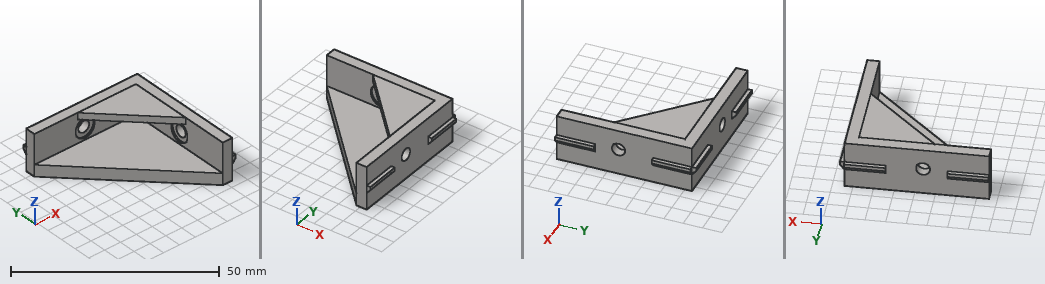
import cadquery as cq
import math

overall = 36.1
height = 12.5
tab_reach = 1.1
wall = 3.05
floor_thickness = 3.5
brace_leg = 18.35
brace_edge = 2.0
brace_drop = 3.97
hole_diameter = 3.4
counterbore_diameter = 6.0
counterbore_depth = 0.5
hole_position = 16.0
hole_height = 7.08
tab_length = 10.0
tab_top = 7.08
tab_tip = 0.9
tab_root = 2.2

outer = overall - tab_reach
inner = outer - wall


def mirrored(body):
    """Swap X and Y: mirror a body in the upright plane through the bracket's corner."""
    return body.mirror("YZ").rotate((0, 0, 0), (0, 0, 1), -90)


def wall_hole_cutter():
    """Screw hole through the Y wall, counterbored from its inner face."""
    inner_face = cq.Workplane("XZ", origin=(hole_position, inner, hole_height))
    through_hole = inner_face.circle(hole_diameter / 2).extrude(-wall)
    counterbore = inner_face.circle(counterbore_diameter / 2).extrude(-counterbore_depth)
    return through_hole.union(counterbore)


def make_bracket():
    """Two walls in an L with a triangular floor between them."""
    walls = (
        cq.Workplane("XY")
        .polyline([(0, outer), (outer, outer), (outer, 0), (inner, 0), (inner, inner), (0, inner)])
        .close()
        .extrude(height)
    )
    floor = (
        cq.Workplane("XY")
        .polyline([(0, inner), (inner, inner), (inner, 0)])
        .close()
        .extrude(floor_thickness)
    )
    cutter = wall_hole_cutter()
    return walls.union(floor).cut(cutter).cut(mirrored(cutter))


def make_brace():
    """Triangular top brace whose underside slopes down towards the inner corner."""
    free_end = inner - brace_leg
    block = (
        cq.Workplane("XY", origin=(0, 0, height))
        .polyline([(free_end, inner), (inner, inner), (inner, free_end)])
        .close()
        .extrude(-brace_edge - brace_drop)
    )
    depth = brace_leg / math.sqrt(2)
    edge_length = brace_leg * math.sqrt(2)
    upright = cq.Plane(origin=(inner, inner, height), xDir=(-1, -1, 0), normal=(-1, 1, 0))
    profile = (
        cq.Workplane(upright)
        .polyline([(0, 0), (depth, 0), (depth, -brace_edge), (0, -brace_edge - brace_drop)])
        .close()
        .extrude(edge_length / 2, both=True)
    )
    return block.intersect(profile)


def make_tab(start):
    """Tab on the outer face of the Y wall, beginning at X = start."""
    return (
        cq.Workplane("YZ", origin=(start, 0, 0))
        .polyline([
            (outer, tab_top),
            (overall, tab_top),
            (overall, tab_top - tab_tip),
            (outer, tab_top - tab_root),
        ])
        .close()
        .extrude(tab_length)
    )


bracket = make_bracket()
brace = make_brace()

tabs = []
for tab_start in (0, outer - tab_length):
    tab = make_tab(tab_start)
    tabs.append(tab.val())
    tabs.append(mirrored(tab).val())

result = cq.Compound.makeCompound([bracket.val(), brace.val(), *tabs])